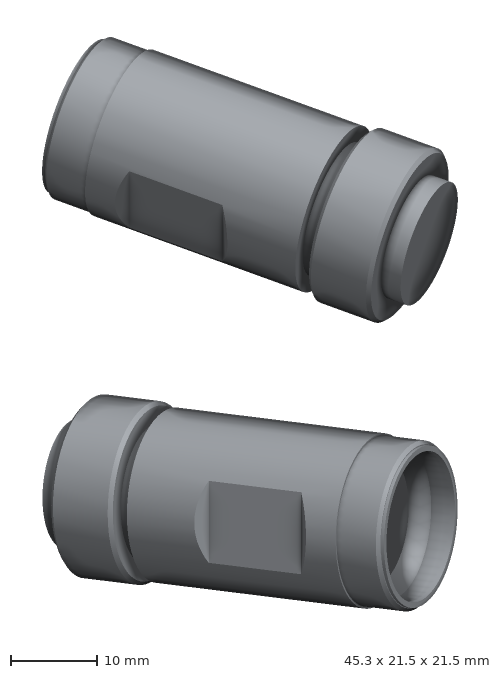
import cadquery as cq

LIP_RADIUS = 9.5
LIP_LENGTH = 0.4
COLLAR_RADIUS = 10.0
COLLAR_END = 5.9
COLLAR_CHAMFER = 0.4
BODY_RADIUS = 10.25
BODY_END = 33.0
NECK_RADIUS = 8.25
RING_RADIUS = 10.75
RING_START = 34.8
RING_LENGTH = 8.0
RING_CHAMFER = 0.45
SPIGOT_RADIUS = 7.6
TOTAL_LENGTH = 45.3

SOCKET_RADIUS = 8.85
SOCKET_BORE_DEPTH = 3.1
FLOOR_RADIUS = 7.6
SOCKET_DEPTH = 5.4

ACROSS_FLATS = 18.0
FLAT_START = 11.0
FLAT_LENGTH = 12.0

RING_END = RING_START + RING_LENGTH


def revolve_about_x(outline):
    """Turn a closed (x, radius) outline once around the X axis."""
    return cq.Workplane("XY").polyline(outline).close().revolve(360, (0, 0, 0), (1, 0, 0))


def make_body():
    return revolve_about_x([
        (0, 0),
        (0, LIP_RADIUS),
        (LIP_LENGTH, LIP_RADIUS),
        (LIP_LENGTH, COLLAR_RADIUS - COLLAR_CHAMFER),
        (LIP_LENGTH + COLLAR_CHAMFER, COLLAR_RADIUS),
        (COLLAR_END, COLLAR_RADIUS),
        (COLLAR_END, BODY_RADIUS),
        (BODY_END, BODY_RADIUS),
        (BODY_END, NECK_RADIUS),
        (RING_START, NECK_RADIUS),
        (RING_START, RING_RADIUS - RING_CHAMFER),
        (RING_START + RING_CHAMFER, RING_RADIUS),
        (RING_END - RING_CHAMFER, RING_RADIUS),
        (RING_END, RING_RADIUS - RING_CHAMFER),
        (RING_END, SPIGOT_RADIUS),
        (TOTAL_LENGTH, SPIGOT_RADIUS),
        (TOTAL_LENGTH, 0),
    ])


def make_socket():
    return revolve_about_x([
        (0, 0),
        (0, SOCKET_RADIUS),
        (SOCKET_BORE_DEPTH, SOCKET_RADIUS),
        (SOCKET_DEPTH, FLOOR_RADIUS),
        (SOCKET_DEPTH, 0),
    ])


def make_flat_cutter(side):
    """Trapezoidal cutter for one flat; side is -1 for -Y and +1 for +Y."""
    flat_end = FLAT_START + FLAT_LENGTH
    flat_y = ACROSS_FLATS / 2
    cutter_y = RING_RADIUS
    runout = cutter_y - flat_y
    outline = [
        (FLAT_START, side * flat_y),
        (flat_end, side * flat_y),
        (flat_end + runout, side * cutter_y),
        (FLAT_START - runout, side * cutter_y),
    ]
    return cq.Workplane("XY").polyline(outline).close().extrude(BODY_RADIUS, both=True)


result = make_body().cut(make_socket())
for side in (-1, 1):
    result = result.cut(make_flat_cutter(side))